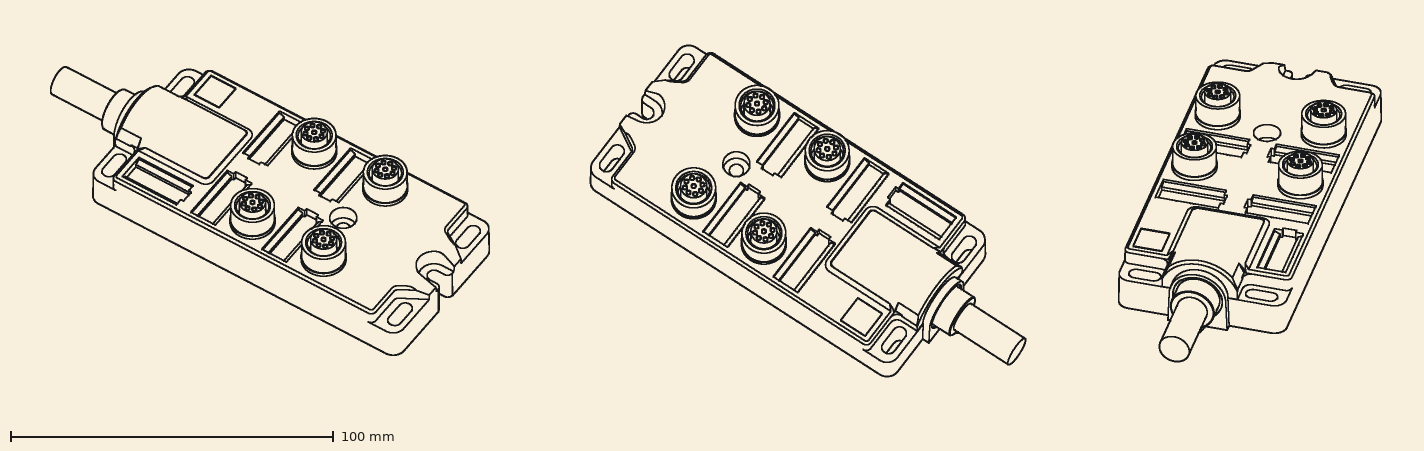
import cadquery as cq
import math

total_length = 144.4
base_length = 115.5
base_width = 54.0
base_corner_radius = 4.0
draft_angle = 0.8
ledge_z = 10.7
deck_z = 15.7
total_height = 25.3
overlap = 0.7

draft_inset = ledge_z * math.tan(math.radians(draft_angle))
deck_left = 8.7
deck_right = 106.4
deck_corner_radius = 1.7
deck_chamfer = 0.9
nose_half_width = 14.1
nose_tip_half_width = 8.7
slope_start_x = 108.7
slope_arc_end = (111.3, 15.2)
slope_end_z = 12.7

slot_width = 4.3
slot_length = 10.1
slot_inset = 4.3
slot_y = 18.8
end_slot_x = base_length - slot_inset
end_slot_mouth_radius = 1.7
end_pocket_radius = 4.8
end_pocket_flare = 9
center_hole_x = 77.2
center_bore_diameter = 8.4

cable_z = 10.5
cable_diameter = 9.7
housing_radius = 14.0
housing_top = 22.7
housing_center_z = housing_top - housing_radius
housing_front = 0.3
housing_edge = 0.9
housing_flat_end = 25.7
housing_slope_end = 35.1
slope_rim_radius = 2.2
housing_foot_half_width = 13.1
housing_foot_end = 35.7
housing_foot_corner_radius = 2.9
housing_foot_flare = 61
housing_foot_height = 0.9
shoulder_half_width = 12.1
shoulder_side_z = 14.5
shoulder_top = (10.2, 18.2)
shoulder_corner_radius = 2.6
plate_front = -2.3
plate_radius = 9.1
plate_base_half_width = 9.5
collar_front = -8.4
collar_diameter = 14.0
collar_tip_diameter = 13.5
collar_groove_diameter = 15.9
collar_groove_depth = 0.6
collar_rib_half_width = 2.5
collar_rib_end_x = -2.9
collar_rib_tip_z = 2.2

socket_columns = (54.9, 81.4)
socket_y = 17.0
socket_diameter = 13.5
socket_foot_diameter = 14.0
socket_foot_top = 17.0
socket_top = 23.7
socket_bore_diameter = 10.1
socket_mouth_diameter = 11.1
socket_bore_depth = 5.8
insert_diameter = 8.1
pin_hole_diameter = 1.2
pin_rim_diameter = 1.5
pin_rim_depth = 0.3
pin_hole_depth = 4.3
pin_circle_radius = 2.7
ring_pin_count = 8

dome_diameter = 3.8
dome_height = 0.3
dome_offset = 4.98
dome_row_y = 6.5

label_width = 9.2
label_length = 20.2
label_lip_depth = 0.9
label_slope_width = 1.7
label_slope_depth = 1.7
label_depth = 2.9
label_tab_width = 4.3
label_tab_length = 1.0
label_edge_y = 24.5
label_columns = (41.5, 68.0)
side_label_x = 11.3
square_label_depth = 0.3


def prism_along_y(profile, half_width):
    """Extrude an XZ profile symmetrically about y = 0."""
    return profile.extrude(half_width, both=True)


def make_block(height):
    """Drafted block with rounded corners that both base and deck follow."""
    return (
        cq.Workplane("XY")
        .center(base_length / 2, 0)
        .sketch()
        .rect(base_length, base_width)
        .vertices()
        .fillet(base_corner_radius)
        .finalize()
        .extrude(height, taper=draft_angle)
    )


def make_deck():
    """Raised deck with a sloped nose, split by the pocket around the end slot."""
    side = [
        (deck_left, base_width),
        (deck_right, base_width),
        (deck_right, nose_half_width),
        (base_length, nose_tip_half_width),
        (base_length + overlap, nose_tip_half_width),
    ]
    mirrored_side = [(x, -y) for x, y in reversed(side)]
    outline = cq.Workplane("XY").polyline(side + mirrored_side).close().extrude(deck_z)
    corners = cq.selectors.BoxSelector(
        (deck_left - 1.5, -base_width, 0), (deck_right + 1.5, base_width, deck_z)
    )
    deck = make_block(deck_z).intersect(outline).edges("not #Z").edges(corners).fillet(deck_corner_radius)
    deck = deck.faces(">Z").edges().chamfer(deck_chamfer)

    pocket = (
        cq.Workplane("XY", origin=(0, 0, ledge_z))
        .moveTo(base_length + end_pocket_radius, end_pocket_radius)
        .lineTo(end_slot_x, end_pocket_radius)
        .threePointArc((end_slot_x - end_pocket_radius, 0), (end_slot_x, -end_pocket_radius))
        .lineTo(base_length + end_pocket_radius, -end_pocket_radius)
        .close()
        .extrude(deck_z - ledge_z, taper=-end_pocket_flare)
    )
    slope = prism_along_y(
        cq.Workplane("XZ")
        .moveTo(deck_right, deck_z)
        .lineTo(slope_start_x, deck_z)
        .tangentArcPoint(slope_arc_end, relative=False)
        .lineTo(base_length, slope_end_z)
        .lineTo(base_length + overlap, slope_end_z)
        .lineTo(base_length + overlap, deck_z)
        .close(),
        base_width,
    )
    above_ledge = cq.Workplane("XY", origin=(base_length / 2, 0, ledge_z)).box(
        2 * base_length, 2 * base_width, deck_z, centered=(True, True, False)
    )
    return deck.intersect(above_ledge).cut(pocket).cut(slope)


def make_shoulder():
    """Narrow front stretch of the housing, between the two cable-end ledges."""
    side = [
        (shoulder_half_width, ledge_z - overlap),
        (shoulder_half_width, shoulder_side_z),
        shoulder_top,
        (shoulder_top[0], total_height),
    ]
    mirrored_side = [(-y, z) for y, z in reversed(side)]
    return cq.Workplane("YZ").polyline(side + mirrored_side).close().extrude(deck_left)


def make_inner_corners():
    """Concave rounds where the deck end meets the two sides of the shoulder."""
    radius = shoulder_corner_radius
    inset = radius * (1 - math.sqrt(0.5))
    start = (deck_left - radius, shoulder_half_width)
    middle = (deck_left - inset, shoulder_half_width + inset)
    end = (deck_left, shoulder_half_width + radius)
    corner = (
        cq.Workplane("XY", origin=(0, 0, ledge_z - overlap))
        .moveTo(*start)
        .threePointArc(middle, end)
        .lineTo(deck_left + deck_chamfer, end[1])
        .lineTo(deck_left + deck_chamfer, start[1] - overlap)
        .lineTo(start[0], start[1] - overlap)
        .close()
        .extrude(deck_z - deck_chamfer - ledge_z + overlap)
    )
    return corner.union(corner.mirror("XZ"))


def make_housing():
    """Arched cover over the cable entry, sloping down onto a flared foot on the deck."""
    floor_z = ledge_z - overlap
    floor_half_width = math.sqrt(housing_radius**2 - (floor_z - housing_center_z) ** 2)
    cover = (
        cq.Workplane("YZ", origin=(housing_front, 0, 0))
        .moveTo(-floor_half_width, floor_z)
        .threePointArc((0, housing_top), (floor_half_width, floor_z))
        .close()
        .extrude(housing_slope_end - housing_front)
        .faces("<X")
        .edges(">Z")
        .chamfer(housing_edge)
    )
    slope = prism_along_y(
        cq.Workplane("XZ")
        .moveTo(housing_flat_end, housing_top)
        .lineTo(housing_slope_end, deck_z)
        .lineTo(housing_slope_end + overlap, deck_z)
        .lineTo(housing_slope_end + overlap, housing_top)
        .close(),
        base_width,
    )
    cover = cover.cut(slope)
    slope_rim = cq.selectors.BoxSelector(
        (housing_flat_end - 1.5, -base_width, deck_z + overlap),
        (housing_slope_end, base_width, total_height),
        boundingbox=False,
    )
    cover = cover.edges("not %LINE").edges(slope_rim).fillet(slope_rim_radius)
    over_deck = (
        cq.Workplane("XY", origin=(deck_left, 0, floor_z))
        .rect(base_length, base_width, centered=(False, True))
        .extrude(total_height)
    )
    cover = cover.intersect(make_shoulder().union(over_deck))
    foot_start = deck_left + deck_chamfer
    foot_length = housing_foot_end - foot_start
    foot = (
        cq.Workplane("XY", origin=(foot_start + foot_length / 2, 0, deck_z))
        .sketch()
        .rect(foot_length, 2 * housing_foot_half_width)
        .vertices(">X")
        .fillet(housing_foot_corner_radius)
        .finalize()
        .extrude(housing_foot_height, taper=housing_foot_flare)
    )
    return cover.union(foot)


def make_cable_entry():
    """Plate, collar, cable and the rib under the collar."""
    plate = (
        cq.Workplane("YZ", origin=(plate_front, 0, 0))
        .moveTo(-plate_base_half_width, 0)
        .lineTo(-plate_radius, cable_z)
        .threePointArc((0, cable_z + plate_radius), (plate_radius, cable_z))
        .lineTo(plate_base_half_width, 0)
        .close()
        .extrude(housing_front + overlap - plate_front)
    )
    groove = (
        cq.Workplane("YZ", origin=(plate_front, 0, cable_z))
        .circle(collar_groove_diameter / 2)
        .extrude(collar_groove_depth)
    )
    collar_length = plate_front + overlap - collar_front
    edge = (collar_diameter - collar_tip_diameter) / 2
    collar = (
        cq.Workplane("YZ", origin=(collar_front, 0, cable_z))
        .circle(collar_diameter / 2)
        .extrude(collar_length)
        .faces("<X")
        .chamfer(edge)
    )
    cable_end = base_length - total_length
    cable = (
        cq.Workplane("YZ", origin=(cable_end, 0, cable_z))
        .circle(cable_diameter / 2)
        .extrude(-cable_end)
    )
    rib = prism_along_y(
        cq.Workplane("XZ").polyline([
            (collar_front, cable_z),
            (collar_front, collar_rib_tip_z),
            (collar_rib_end_x, 0),
            (plate_front + overlap, 0),
            (plate_front + overlap, cable_z),
        ]).close(),
        collar_rib_half_width,
    )
    return plate.cut(groove).union(collar).union(cable).union(rib)


def make_socket(x, y):
    """Round socket with a raised insert that holds a ring of pins around a central one."""
    def disc(diameter, bottom, top):
        return cq.Workplane("XY", origin=(x, y, bottom)).circle(diameter / 2).extrude(top - bottom)

    foot = disc(socket_foot_diameter, deck_z - overlap, socket_foot_top)
    shell = disc(socket_diameter, deck_z - overlap, socket_top)
    bore = disc(socket_bore_diameter, socket_top - socket_bore_depth, socket_top)
    mouth_edge = cq.selectors.RadiusNthSelector(0)
    mouth_chamfer = (socket_mouth_diameter - socket_bore_diameter) / 2
    shell = shell.cut(bore).faces(">Z").edges(mouth_edge).chamfer(mouth_chamfer)
    insert = disc(insert_diameter, deck_z, total_height)
    pins = [(x, y)]
    for i in range(ring_pin_count):
        angle = math.radians(i * 360 / ring_pin_count)
        pins.append((x + pin_circle_radius * math.cos(angle), y + pin_circle_radius * math.sin(angle)))
    insert = (
        insert.faces(">Z")
        .workplane(origin=(0, 0, total_height))
        .pushPoints(pins)
        .cboreHole(pin_hole_diameter, pin_rim_diameter, pin_rim_depth, pin_hole_depth)
    )
    return foot.cut(bore).union(shell).union(insert)


def make_dome(x, y):
    """Shallow spherical indicator dome on the deck."""
    radius = dome_diameter / 2
    sphere_radius = (radius**2 + dome_height**2) / (2 * dome_height)
    mid_x = radius / 2
    mid_z = deck_z + dome_height - sphere_radius + math.sqrt(sphere_radius**2 - mid_x**2)
    return (
        cq.Workplane("XZ")
        .moveTo(0, deck_z - overlap)
        .lineTo(radius, deck_z - overlap)
        .lineTo(radius, deck_z)
        .threePointArc((mid_x, mid_z), (0, deck_z + dome_height))
        .close()
        .revolve(360, (0, 0, 0), (0, 1, 0))
        .translate((x, y, 0))
    )


def make_label_cutter():
    """Stepped trough running from y = 0 toward -y, with a tab notch at its far end."""
    lip = label_width / 2
    floor = lip - label_slope_width
    side = [
        (lip, deck_z + overlap),
        (lip, deck_z - label_lip_depth),
        (floor, deck_z - label_slope_depth),
        (floor, deck_z - label_depth),
    ]
    mirrored_side = [(-x, z) for x, z in reversed(side)]
    trough = cq.Workplane("XZ").polyline(side + mirrored_side).close().extrude(label_length)
    tab = (
        cq.Workplane("XY", origin=(0, -label_length - label_tab_length, deck_z - label_depth))
        .rect(label_tab_width, 2 * label_tab_length, centered=(True, False))
        .extrude(label_depth + overlap)
    )
    return trough.union(tab)


def make_label_cuts():
    """Four label troughs across the deck, one along the cable end and a shallow square."""
    cutter = make_label_cutter()
    side_label_y = -label_edge_y + label_width / 2
    cuts = cutter.rotate((0, 0, 0), (0, 0, 1), 90).translate((side_label_x, side_label_y, 0))
    for x in label_columns:
        upper = cutter.translate((x, label_edge_y, 0))
        cuts = cuts.union(upper).union(upper.mirror("XZ"))
    square = (
        cq.Workplane("XY", origin=(side_label_x, label_edge_y - label_width, deck_z - square_label_depth))
        .rect(label_width, label_width, centered=False)
        .extrude(square_label_depth + overlap)
    )
    return cuts.union(square)


def make_mounting_cuts():
    """Corner slots, the open end slot and the counterbored hole."""
    slots = (
        cq.Workplane("XY")
        .pushPoints([(x, y) for x in (slot_inset, end_slot_x) for y in (slot_y, -slot_y)])
        .slot2D(slot_length, slot_width, 90)
        .extrude(deck_z)
    )
    half = slot_width / 2
    mouth = end_slot_mouth_radius
    end_x = base_length - draft_inset
    mouth_mid = mouth * math.sqrt(0.5)
    arc_center = (end_x - mouth, half + mouth)
    arc_mid = (arc_center[0] + mouth_mid, arc_center[1] - mouth_mid)
    end_slot = (
        cq.Workplane("XY")
        .moveTo(base_length + overlap, half + mouth)
        .lineTo(end_x, half + mouth)
        .threePointArc(arc_mid, (end_x - mouth, half))
        .lineTo(end_slot_x, half)
        .threePointArc((end_slot_x - half, 0), (end_slot_x, -half))
        .lineTo(end_x - mouth, -half)
        .threePointArc((arc_mid[0], -arc_mid[1]), (end_x, -half - mouth))
        .lineTo(base_length + overlap, -half - mouth)
        .close()
        .extrude(deck_z)
    )
    hole = cq.Workplane("XY", origin=(center_hole_x, 0, 0)).circle(half).extrude(deck_z)
    bore = (
        cq.Workplane("XY", origin=(center_hole_x, 0, ledge_z))
        .circle(center_bore_diameter / 2)
        .extrude(deck_z)
    )
    return slots.union(end_slot).union(hole).union(bore)


dome_columns = [x + offset for x in socket_columns for offset in (-dome_offset, dome_offset)]

result = make_block(ledge_z).union(make_deck()).union(make_inner_corners()).union(make_housing())
result = result.union(make_cable_entry())
result = result.cut(make_mounting_cuts()).cut(make_label_cuts())
result = result.union(make_dome(dome_columns[0], 0))
for side in (1, -1):
    for x in dome_columns:
        result = result.union(make_dome(x, side * dome_row_y))
    for x in socket_columns:
        result = result.union(make_socket(x, side * socket_y))